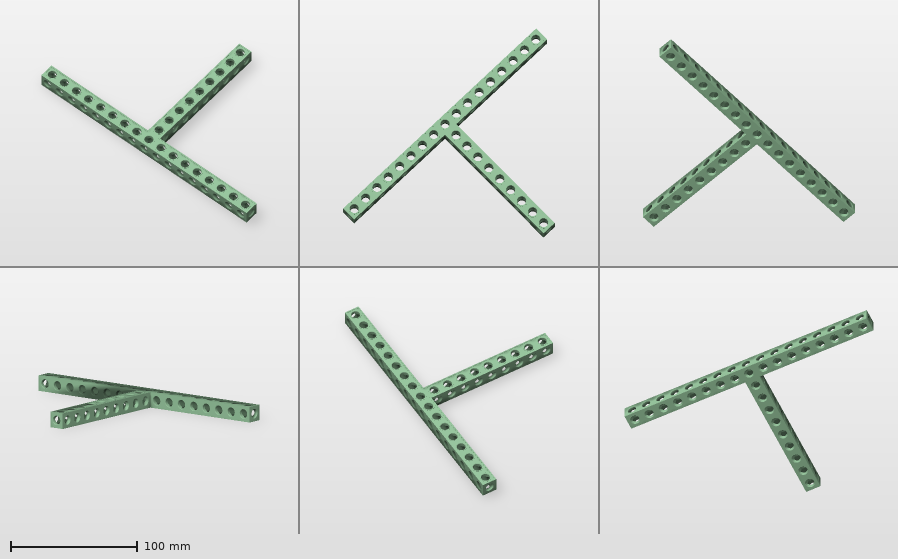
import cadquery as cq

length = 212.5
cross_cells = 17
stem_cells = 10
hole_diameter = 7.0
mouth_diameter = 7.6
collar_diameter = 9.1
rim_width = 1.0
recess_depth = 0.2

pitch = length / cross_cells
bar_width = pitch
half_width = bar_width / 2
stem_length = stem_cells * pitch
mouth_depth = (mouth_diameter - hole_diameter) / 2
recess_floor = bar_width - recess_depth

cross_places = [(index - (cross_cells - 1) / 2) * pitch for index in range(cross_cells)]
arm_places = [x for x in cross_places if abs(x) > half_width]
stem_places = [index * pitch for index in range(1, stem_cells)]
cell_centres = [(x, 0) for x in cross_places] + [(0, y) for y in stem_places]


def tee(inset, bottom, height):
    """Tee-shaped prism whose outline is moved inwards by inset."""
    width = bar_width - 2 * inset
    cross = cq.Workplane("XY").box(length - 2 * inset, width, height, centered=(True, True, False))
    stem = (
        cq.Workplane("XY")
        .box(width, stem_length - 2 * inset, height, centered=(True, False, False))
        .translate((0, -width / 2, 0))
    )
    return cross.union(stem).translate((0, 0, bottom))


def top_recess():
    """Shallow pocket inside the top rim that leaves a flush collar around every hole."""
    collars = (
        cq.Workplane("XY", origin=(0, 0, recess_floor))
        .pushPoints(cell_centres)
        .circle(collar_diameter / 2)
        .extrude(recess_depth)
    )
    return tee(rim_width, recess_floor, recess_depth).cut(collars)


def hole_cutter(start, direction, depth):
    """Cutter for a through hole with a chamfered mouth at each end, running from start."""
    hole_radius = hole_diameter / 2
    mouth_radius = mouth_diameter / 2
    profile = [
        (0, 0),
        (mouth_radius, 0),
        (hole_radius, mouth_depth),
        (hole_radius, depth - mouth_depth),
        (mouth_radius, depth),
        (0, depth),
    ]
    cutter = cq.Workplane("XY").polyline(profile).close().revolve(360, (0, 0), (0, 1))
    upright = cutter.rotate((0, 0, 0), (1, 0, 0), 90).val()
    return upright.moved(cq.Plane(origin=start, normal=direction).location)


left_end = -length / 2
front = -half_width
mid_height = half_width
along_x = (1, 0, 0)
along_y = (0, 1, 0)
along_z = (0, 0, 1)

hole_cutters = [hole_cutter((x, y, 0), along_z, bar_width) for x, y in cell_centres]
hole_cutters += [hole_cutter((x, front, mid_height), along_y, bar_width) for x in arm_places]
hole_cutters += [hole_cutter((-half_width, y, mid_height), along_x, bar_width) for y in stem_places]

hole_cutters.append(hole_cutter((0, front, mid_height), along_y, stem_length))
hole_cutters.append(hole_cutter((left_end, 0, mid_height), along_x, length))

result = tee(0, 0, bar_width).cut(top_recess())
for cutter in hole_cutters:
    result = result.cut(cq.Workplane(cutter))